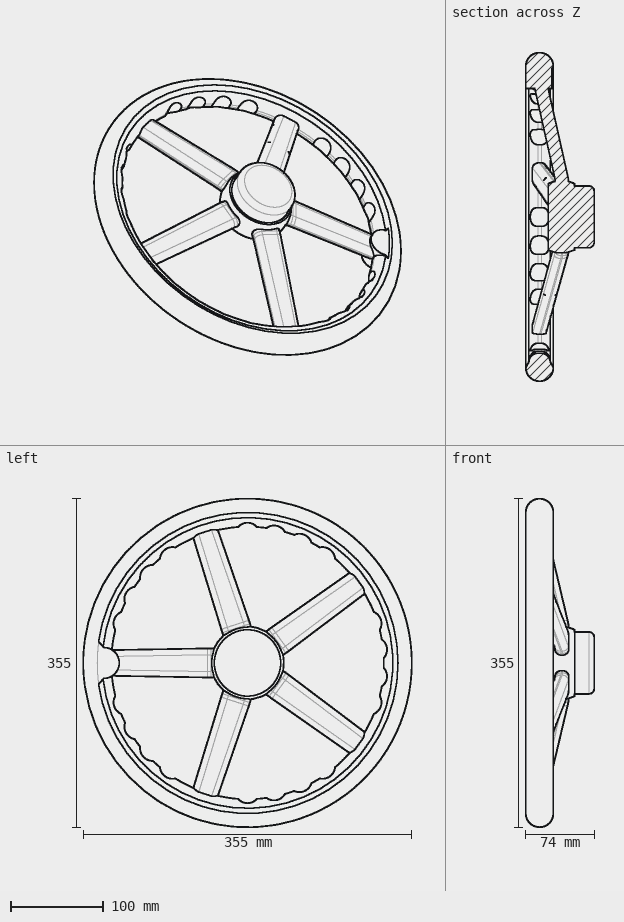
import cadquery as cq
import math


rim_radius = 177.5
rim_thickness = 30.0
rim_inner_radius = 147.0
inner_corner_radius = 10.0
inner_flat_width = 3.5
crest_radius = rim_radius - rim_thickness / 2
core_half_thickness = inner_flat_width / 2 + inner_corner_radius

hub_front = 24.0
hub_back = 53.0
hub_end_radius = 36.0
hub_bulge_radius = 39.5
boss_radius = 67.0 / 2
boss_back = 74.0
boss_fillet = 6.0

spoke_count = 5
spoke_pitch = 360 / spoke_count
spoke_thickness = 15.0
spoke_corner_radius = 6.7
spoke_root_radius = 17.7
spoke_shoulder_radius = 39.7
spoke_knee_radius = 43.5
spoke_tip_radius = 156.0
spoke_hub_x = 39.0
spoke_knee_x = 38.3
spoke_rim_x = 13.0
spoke_hub_width = 31.5
spoke_rim_width = 27.5

grips_per_gap = 4
grip_pitch = 12.0
grip_radius = 13.5
grip_depth_radius = 151.0
grip_axis_radius = grip_depth_radius - grip_radius

lug_radius = 16.5
lug_axis_radius = 155.0
lug_flare_radius = 160.7
lug_flare_half_width = 23.0
lug_back = 28.5


def turned(profile):
    """Revolve a profile drawn with X across and the radius upwards about the X axis."""
    return profile.close().revolve(360, (0, 0, 0), (1, 0, 0))


def make_rim():
    """Half-round grip outside, tapering through a cone on each side to a narrower rounded inside."""
    middle = rim_thickness / 2
    flat_half = inner_flat_width / 2
    core_radius = rim_inner_radius + inner_corner_radius
    diagonal = inner_corner_radius * math.sqrt(0.5)
    profile = (
        cq.Workplane("XY")
        .moveTo(middle - core_half_thickness, core_radius)
        .lineTo(0, crest_radius)
        .threePointArc((middle, rim_radius), (rim_thickness, crest_radius))
        .lineTo(middle + core_half_thickness, core_radius)
        .threePointArc(
            (middle + flat_half + diagonal, core_radius - diagonal),
            (middle + flat_half, rim_inner_radius),
        )
        .lineTo(middle - flat_half, rim_inner_radius)
        .threePointArc(
            (middle - flat_half - diagonal, core_radius - diagonal),
            (middle - core_half_thickness, core_radius),
        )
    )
    return turned(profile)


def make_hub():
    hub_middle = (hub_front + hub_back) / 2
    barrel = turned(
        cq.Workplane("XY")
        .moveTo(hub_front, 0)
        .lineTo(hub_front, hub_end_radius)
        .threePointArc((hub_middle, hub_bulge_radius), (hub_back, hub_end_radius))
        .lineTo(hub_back, 0)
    )
    boss = (
        cq.Workplane("YZ", origin=(hub_middle, 0, 0))
        .circle(boss_radius)
        .extrude(boss_back - hub_middle)
        .faces(">X")
        .edges()
        .fillet(boss_fillet)
    )
    return barrel.union(boss)


def spoke_section(radius, x, width):
    """Rounded cross-section of the +Y spoke, square to Y, at one radius."""
    blank = (
        cq.Workplane("XZ", origin=(x, radius, 0))
        .rect(spoke_thickness, width)
        .extrude(-3.5)
        .edges("|Y")
        .fillet(spoke_corner_radius)
    )
    return blank.faces("<Y").wires().val()


def make_spoke():
    """Spoke along +Y, made of straight runs from the hub to the rim."""
    sections = [
        spoke_section(spoke_root_radius, spoke_hub_x, spoke_hub_width),
        spoke_section(spoke_shoulder_radius, spoke_hub_x, spoke_hub_width),
        spoke_section(spoke_knee_radius, spoke_knee_x, spoke_hub_width),
        spoke_section(spoke_tip_radius, spoke_rim_x, spoke_rim_width),
    ]
    return cq.Workplane(cq.Solid.makeLoft(sections, True))


def make_grip_cutter():
    return cq.Workplane("YZ", origin=(0, grip_axis_radius, 0)).circle(grip_radius).extrude(rim_thickness)


def make_lug():
    """Round post through the rim, flaring out sideways where it meets the crest of the rim."""
    post = cq.Workplane("YZ").center(lug_axis_radius, 0).circle(lug_radius).extrude(lug_back)
    flare = (
        cq.Workplane("YZ")
        .moveTo(lug_axis_radius, -lug_radius)
        .lineTo(lug_flare_radius, -lug_flare_half_width)
        .lineTo(rim_radius, -lug_flare_half_width)
        .lineTo(rim_radius, lug_flare_half_width)
        .lineTo(lug_flare_radius, lug_flare_half_width)
        .lineTo(lug_axis_radius, lug_radius)
        .close()
        .extrude(lug_back)
    )
    crest_disc = cq.Workplane("YZ").circle(crest_radius).extrude(lug_back)
    return post.union(flare).intersect(crest_disc)


def about_axis(shape, angle):
    return shape.rotate((0, 0, 0), (1, 0, 0), angle)


rim = make_rim()
grip_cutter = make_grip_cutter()
first_grip_angle = (spoke_pitch - (grips_per_gap - 1) * grip_pitch) / 2
for gap in range(spoke_count):
    for grip in range(grips_per_gap):
        grip_angle = gap * spoke_pitch + first_grip_angle + grip * grip_pitch
        rim = rim.cut(about_axis(grip_cutter, grip_angle))

result = rim.union(make_hub()).union(make_lug())
spoke = make_spoke()
for index in range(spoke_count):
    result = result.union(about_axis(spoke, index * spoke_pitch))